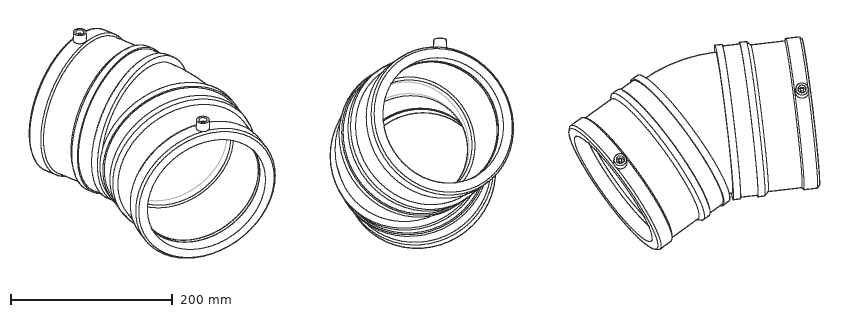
import cadquery as cq
import math

overall_length = 300.5
bend_angle = 30.0
socket_length = 108.2

face_diameter = 183.5
barrel_diameter = 183.5
collar_diameter = 189.0
ring_diameter = 193.0
bend_diameter = 175.8

end_chamfer = 3.0
collar_end = 19.8
barrel_start = 22.0
barrel_end = 64.0
outer_ring_start = 68.8
outer_ring_end = 77.5
inner_ring_start = 99.2

bore_diameter = 160.0
groove_diameter = 160.5
pipe_stop_diameter = 152.0
groove_start = 17.5
groove_end = 22.0
bore_depth = 98.0

terminal_station = 10.8
terminal_top = 106.0
terminal_base_diameter = 16.8
terminal_top_diameter = 15.5
terminal_hole_diameter = 10.0
terminal_hole_depth = 10.0
contact_diameter = 4.0
contact_height = 7.0

angle = math.radians(bend_angle)
far_socket_reach = socket_length * math.cos(angle) + face_diameter / 2 * math.sin(angle)
bend_radius = (overall_length - socket_length - far_socket_reach) / math.sin(angle)
bend_center = (socket_length, -bend_radius, 0)


def revolve_about_x(stations):
    """Solid of revolution about X from (x, diameter) pairs."""
    points = [(x, diameter / 2) for x, diameter in stations]
    points = [(points[0][0], 0)] + points + [(points[-1][0], 0)]
    return cq.Workplane("XY").polyline(points).close().revolve(360, (0, 0, 0), (1, 0, 0))


def bend(diameter):
    """Solid pipe bend from the inner end of the first socket to that of the second."""
    return (
        cq.Workplane("YZ", origin=(socket_length, 0, 0))
        .circle(diameter / 2)
        .revolve(bend_angle, (-bend_radius, 3, 0), (-bend_radius, 0, 0))
    )


def both_ends(first):
    """The given body at the first socket, together with its mirror image at the second."""
    half_angle = angle / 2
    mirror_normal = cq.Vector(math.cos(half_angle), -math.sin(half_angle), 0)
    return first.union(first.mirror(mirror_normal, bend_center))


def socket_body():
    return revolve_about_x([
        (0, face_diameter),
        (end_chamfer, collar_diameter),
        (collar_end, collar_diameter),
        (barrel_start, barrel_diameter),
        (barrel_end, barrel_diameter),
        (outer_ring_start, ring_diameter),
        (outer_ring_end, ring_diameter),
        (outer_ring_end, collar_diameter),
        (inner_ring_start, collar_diameter),
        (inner_ring_start, ring_diameter),
        (socket_length, ring_diameter),
    ])


def socket_bore():
    return revolve_about_x([
        (0, bore_diameter),
        (groove_start, bore_diameter),
        (groove_start, groove_diameter),
        (groove_end, groove_diameter),
        (groove_end, bore_diameter),
        (bore_depth, bore_diameter),
        (bore_depth, pipe_stop_diameter),
        (socket_length, pipe_stop_diameter),
    ])


def terminal():
    """Tapered sleeve with a blind hole and a contact pin in it; its root is sunk in the wall."""
    root_radius = (bore_diameter + collar_diameter) / 4
    collar_radius = collar_diameter / 2
    base = terminal_base_diameter / 2
    top = terminal_top_diameter / 2
    hole = terminal_hole_diameter / 2
    contact = contact_diameter / 2
    floor = terminal_top - terminal_hole_depth
    profile = [
        (0, root_radius),
        (base, root_radius),
        (base, collar_radius),
        (top, terminal_top),
        (hole, terminal_top),
        (hole, floor),
        (contact, floor),
        (contact, floor + contact_height),
        (0, floor + contact_height),
    ]
    sleeve = cq.Workplane("XZ").polyline(profile).close().revolve(360, (0, 0, 0), (0, 1, 0))
    return sleeve.translate((terminal_station, 0, 0))


outside = both_ends(socket_body().union(terminal())).union(bend(bend_diameter))
inside = both_ends(socket_bore()).union(bend(pipe_stop_diameter))
result = outside.cut(inside)